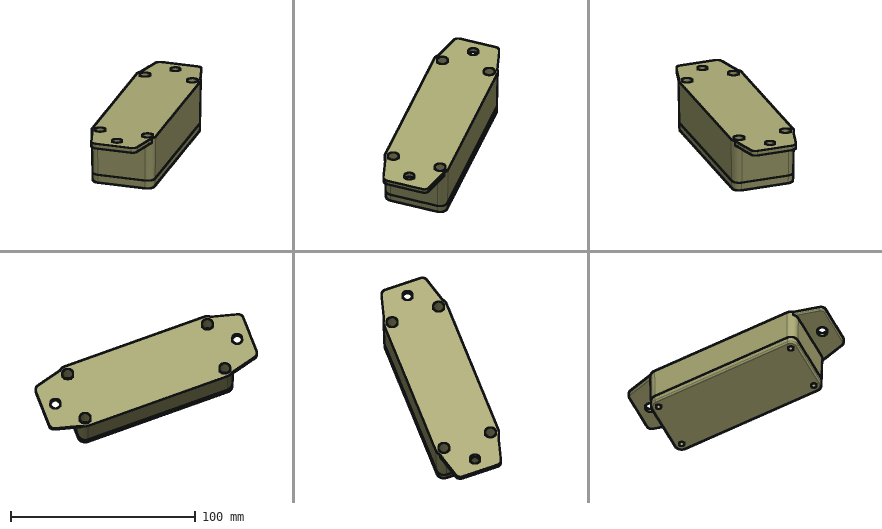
import cadquery as cq
import math

LENGTH = 120.4
WIDTH = 36.4
HEIGHT = 30.0
BOX_LENGTH = 90.4

LID_HEIGHT = 5.0
DRAFT_ANGLE = 1.0
CORNER_RADIUS = 4.7
BOTTOM_FILLET = 1.0

EAR_THICKNESS = 3.0
EAR_TIP_WIDTH = 25.0
EAR_SIDE_ANGLE = 15.0
EAR_CORNER_RADIUS = 3.0
EAR_EDGE_FILLET = 0.7
EAR_HOLE_DIAMETER = 5.5
EAR_HOLE_Y = LENGTH / 2 - 7.5

SCREW_X = WIDTH / 2 - CORNER_RADIUS
SCREW_Y = BOX_LENGTH / 2 - CORNER_RADIUS
SCREW_DIAMETER = 2.9
COUNTERBORE_DIAMETER = 6.0
COUNTERBORE_DEPTH = 15.0


def on_top():
    """Workplane on the top face, facing up."""
    return cq.Workplane("XY", origin=(0, 0, HEIGHT))


def drafted_block():
    """Rounded block, full size at the top and narrowing down to Z = 0."""
    outline = cq.Sketch().rect(WIDTH, BOX_LENGTH).vertices().fillet(CORNER_RADIUS)
    block = on_top().placeSketch(outline).extrude(-HEIGHT, taper=DRAFT_ANGLE)
    return block.faces("<Z").edges().fillet(BOTTOM_FILLET)


def ear(direction):
    """Tapered ear reaching out along +Y or -Y, flush with the top face."""
    tip_x = EAR_TIP_WIDTH / 2
    tip_y = LENGTH / 2
    root_x = tip_x + (tip_y - SCREW_Y) * math.tan(math.radians(EAR_SIDE_ANGLE))
    outline = [(-root_x, SCREW_Y), (-tip_x, tip_y), (tip_x, tip_y), (root_x, SCREW_Y)]
    plate = on_top().polyline(outline).close().extrude(-EAR_THICKNESS)
    plate = plate.edges("|Z and >Y").fillet(EAR_CORNER_RADIUS)
    plate = plate.faces("<Z").edges("not <Y").fillet(EAR_EDGE_FILLET)
    hole = on_top().center(0, EAR_HOLE_Y).circle(EAR_HOLE_DIAMETER / 2).extrude(-EAR_THICKNESS)
    plate = plate.cut(hole)
    return plate if direction > 0 else plate.mirror("XZ")


def screw_points():
    """Workplane on the top face with the four screw positions selected."""
    return on_top().rect(2 * SCREW_X, 2 * SCREW_Y, forConstruction=True).vertices()


def lid_zone():
    """Oversize slab that covers the height of the lid."""
    return cq.Workplane("XY").rect(LENGTH, LENGTH).extrude(LID_HEIGHT)


def make_lid(block, screw_holes):
    """Bottom cover: the lowest part of the block."""
    return block.intersect(lid_zone()).cut(screw_holes)


def make_housing(block, screw_holes):
    """Everything above the lid, with ears and drafted counterbores."""
    body = block.cut(lid_zone())
    for direction in (1, -1):
        body = body.union(ear(direction))
    counterbores = screw_points().circle(COUNTERBORE_DIAMETER / 2)
    counterbores = counterbores.extrude(-COUNTERBORE_DEPTH, taper=DRAFT_ANGLE)
    return body.cut(counterbores).cut(screw_holes)


block = drafted_block()
screw_holes = screw_points().circle(SCREW_DIAMETER / 2).extrude(-HEIGHT)
housing = make_housing(block, screw_holes)
lid = make_lid(block, screw_holes)

result = cq.Compound.makeCompound([housing.solids().val(), lid.solids().val()])